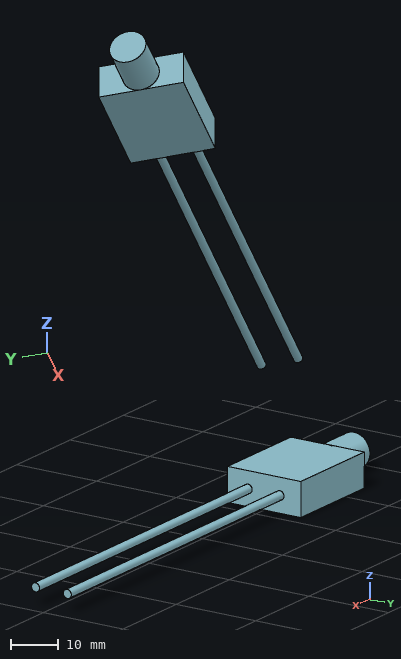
import cadquery as cq

total_length = 114.0
nose_length = 10.0
nose_diameter = 8.0
body_length = 23.9
body_width = 18.5
body_height = nose_diameter
pin_diameter = 2.0
pin_spacing = 8.0

body_start = nose_length
body_end = body_start + body_length
pin_length = total_length - body_end


def rod(start_x, center_y, diameter, length):
    """Round rod along +X, centred at mid-height of the body."""
    return (
        cq.Workplane("YZ", origin=(start_x, center_y, 0))
        .circle(diameter / 2)
        .extrude(length)
    )


body = cq.Workplane("YZ", origin=(body_start, 0, 0)).rect(body_width, body_height).extrude(body_length)

result = body.union(rod(0, 0, nose_diameter, nose_length))

for side in (-1, 1):
    result = result.union(rod(body_end, side * pin_spacing / 2, pin_diameter, pin_length))